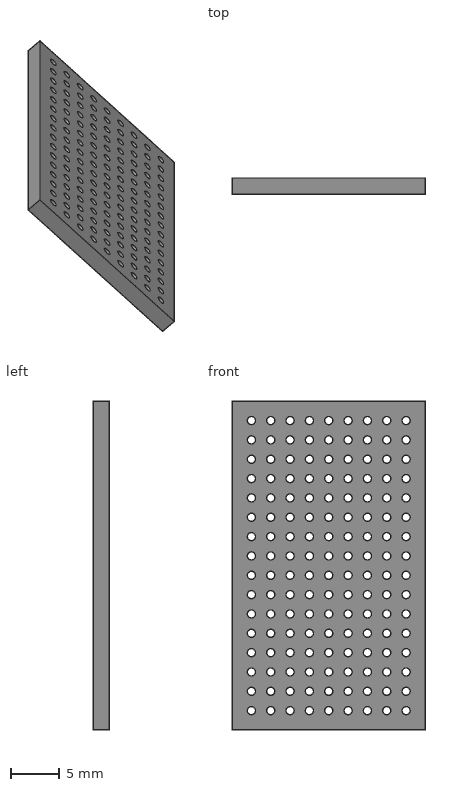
import cadquery as cq

height = 34.0
thickness = 1.7
hole_diameter = 0.8
columns = 9
rows = 16

pitch = height / (rows + 1)
width = pitch * (columns + 1)


def make_plate():
    """Plain rectangular plate centred on the origin."""
    return cq.Workplane("XY").box(width, thickness, height)


def drill_hole_grid(plate):
    """Drill the centred grid of round holes through the thickness."""
    return (
        plate.faces("<Y")
        .workplane(centerOption="CenterOfBoundBox")
        .rarray(pitch, pitch, columns, rows)
        .hole(hole_diameter)
    )


result = drill_hole_grid(make_plate())